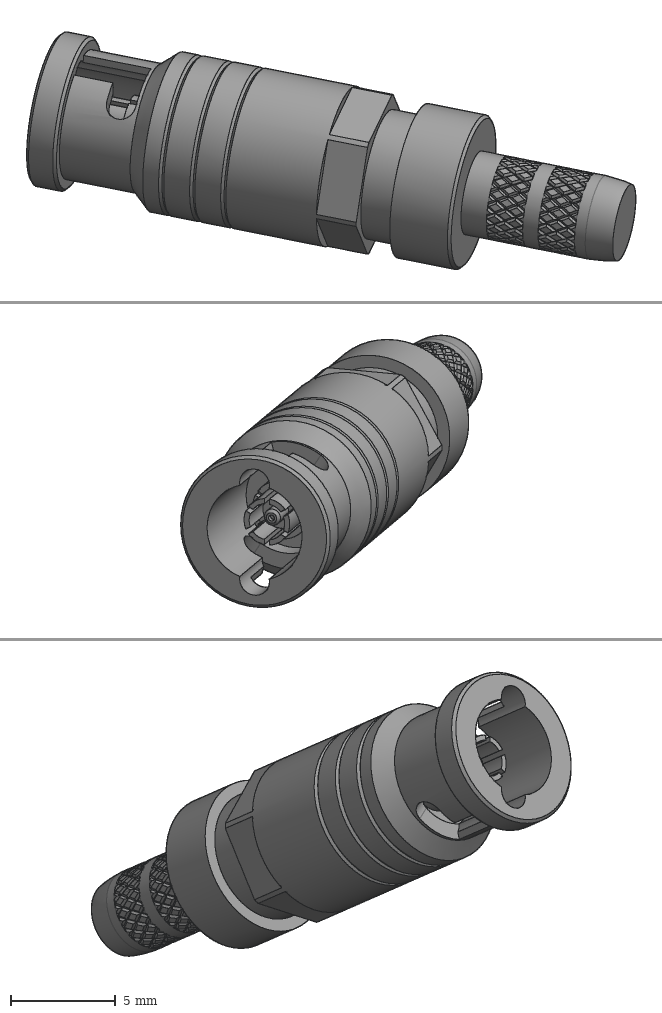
import cadquery as cq
import math


FLANGE_END = 1.5
NECK_END = 5.02
CONE_END = 5.89
BODY_END = 14.55
HEX_END = 16.55
REAR_NECK_END = 18.17
COLLAR_END = 21.2
TAPER_START = 27.4
LENGTH = 28.7

BODY_R = 3.9
FLANGE_R = 3.75
NECK_R = 3.15
STEM_R = 2.05
STEM_TIP_R = 1.87
EDGE_CHAMFER = 0.15

RING_GROOVE_CENTERS = (6.8, 8.35, 9.9)
RING_GROOVE_WIDTH = 0.25
RING_GROOVE_DEPTH = 0.13

HEX_ACROSS_FLATS = 6.9

BORE_R = 2.38
KEY_R = 0.75
BORE_END = CONE_END
LATCH_R = 0.72
LATCH_ANGLE = 33.0
LATCH_X = 4.13
LATCH_START = LATCH_X - LATCH_R
LATCH_END = LATCH_X + LATCH_R
SLOT_HALF_ANGLE = 14.0

BASE_R = 1.44
BASE_START = 4.02
FINGER_R = 1.15
FINGER_INNER_R = 0.9
FINGER_START = 1.87
SOCKET_FLOOR = 3.93
SLIT_END = 4.42
SLIT_WIDTH = 0.25
SLIT_COUNT = 6
PIN_R = 0.4
PIN_CHAMFER = 0.15
PIN_HOLE_R = 0.15
PIN_HOLE_DEPTH = 0.3
PIN_START = 2.55

KNURL_STARTS = (22.45, 25.04)
KNURL_LENGTH = 1.8
KNURL_COUNT = 20
KNURL_LEAD = 20.67
KNURL_DEPTH = 0.1
KNURL_WIDTH = 0.25

CLEARANCE = 0.3


def cylinder(radius, start, end):
    """Solid cylinder on the X axis."""
    return cq.Workplane("YZ", origin=(start, 0, 0)).circle(radius).extrude(end - start)


def tube(outer, inner, start, end):
    """Hollow cylinder on the X axis."""
    return cq.Workplane("YZ", origin=(start, 0, 0)).circle(outer).circle(inner).extrude(end - start)


def turned_body():
    """Outer turned shape with a gently rounded taper at the stem tip."""
    taper_length = LENGTH - TAPER_START
    taper_drop = STEM_R - STEM_TIP_R
    c = EDGE_CHAMFER
    profile = (
        cq.Workplane("XY")
        .moveTo(0, 0)
        .lineTo(0, FLANGE_R - c)
        .lineTo(c, FLANGE_R)
        .lineTo(FLANGE_END - c, FLANGE_R)
        .lineTo(FLANGE_END, FLANGE_R - c)
        .lineTo(FLANGE_END, NECK_R)
        .lineTo(NECK_END, NECK_R)
        .lineTo(CONE_END, BODY_R)
        .lineTo(HEX_END, BODY_R)
        .lineTo(HEX_END, NECK_R)
        .lineTo(REAR_NECK_END, NECK_R)
        .lineTo(REAR_NECK_END, FLANGE_R)
        .lineTo(COLLAR_END - c, FLANGE_R)
        .lineTo(COLLAR_END, FLANGE_R - c)
        .lineTo(COLLAR_END, STEM_R)
        .lineTo(TAPER_START, STEM_R)
        .threePointArc(
            (TAPER_START + taper_length / 2, STEM_R - taper_drop / 4),
            (LENGTH, STEM_TIP_R),
        )
        .lineTo(LENGTH, 0)
        .close()
    )
    return profile.revolve(360, (0, 0, 0), (1, 0, 0))


def ring_groove(center):
    """V-shaped ring that cuts a groove around the body."""
    half = RING_GROOVE_WIDTH / 2
    return (
        cq.Workplane("XY")
        .polyline([(center - half, BODY_R), (center, BODY_R - RING_GROOVE_DEPTH), (center + half, BODY_R)])
        .close()
        .revolve(360, (0, 0, 0), (1, 0, 0))
    )


def hex_waste():
    """Material outside the wrench flats, with two hexagon corners on the Y axis."""
    length = HEX_END - BODY_END
    across_corners = HEX_ACROSS_FLATS / math.cos(math.pi / 6)
    hexagon = cq.Workplane("YZ", origin=(BODY_END, 0, 0)).polygon(6, across_corners).extrude(length)
    return cylinder(BODY_R + CLEARANCE, BODY_END, HEX_END).cut(hexagon)


def sector(start, end, first_angle, last_angle):
    """Wedge about the X axis; angles run from +Z toward -Y."""
    return (
        cq.Workplane("XZ")
        .rect(end - start, NECK_R + CLEARANCE, centered=False)
        .revolve(last_angle - first_angle, (0, 0, 0), (1, 0, 0))
        .rotate((0, 0, 0), (1, 0, 0), first_angle)
        .translate((start, 0, 0))
    )


def bayonet_slot():
    """Key channel and latch window on the +Z side, cut from the bore outward."""
    channel = cq.Workplane("YZ").center(0, BORE_R).circle(KEY_R).extrude(LATCH_END)
    opening = sector(FLANGE_END, LATCH_END, -SLOT_HALF_ANGLE, SLOT_HALF_ANGLE)
    turn = sector(LATCH_START, LATCH_END, 0, LATCH_ANGLE)
    end = (
        cq.Workplane("XY", origin=(LATCH_X, 0, 0))
        .circle(LATCH_R)
        .extrude(NECK_R + CLEARANCE)
        .rotate((0, 0, 0), (1, 0, 0), LATCH_ANGLE)
    )
    return channel.union(opening).union(turn).union(end)


def mating_cavity():
    """Bore with two opposite bayonet slots."""
    slot = bayonet_slot()
    return (
        cylinder(BORE_R, 0, BORE_END)
        .union(slot)
        .union(slot.rotate((0, 0, 0), (1, 0, 0), 180))
    )


def inner_contact():
    """Slit spring fingers on a base, around a chamfered and drilled centre pin."""
    fingers = tube(FINGER_R, FINGER_INNER_R, FINGER_START, BORE_END)
    base = tube(BASE_R, FINGER_INNER_R, BASE_START, BORE_END)
    shell = fingers.union(base)
    slit = cq.Workplane("XY").box(
        SLIT_END - FINGER_START, SLIT_WIDTH, BASE_R + CLEARANCE, centered=(False, True, False)
    ).translate((FINGER_START, 0, 0))
    for i in range(SLIT_COUNT):
        shell = shell.cut(slit.rotate((0, 0, 0), (1, 0, 0), i * 360 / SLIT_COUNT))
    pin = cylinder(PIN_R, PIN_START, BORE_END).faces("<X").chamfer(PIN_CHAMFER)
    pin = pin.cut(cylinder(PIN_HOLE_R, PIN_START, PIN_START + PIN_HOLE_DEPTH))
    return shell.union(cylinder(FINGER_INNER_R, SOCKET_FLOOR, BORE_END)).union(pin)


def knurl_cutters(hand):
    """V-shaped helical cutters of one hand for a band starting at X = 0."""
    twist = hand * 360 * KNURL_LENGTH / KNURL_LEAD
    pitch = 360 / KNURL_COUNT
    root = STEM_R - KNURL_DEPTH
    mouth = STEM_R + KNURL_DEPTH
    cutter = (
        cq.Workplane("YZ")
        .polyline([(-KNURL_WIDTH, mouth), (0, root), (KNURL_WIDTH, mouth)])
        .close()
        .twistExtrude(KNURL_LENGTH, twist)
    )
    first_angle = (pitch - twist) / 2
    return [
        cutter.rotate((0, 0, 0), (1, 0, 0), first_angle + i * pitch).val()
        for i in range(KNURL_COUNT)
    ]


def knurled_band():
    """Short piece of stem starting at X = 0 with crossing helical grooves."""
    band = cylinder(STEM_R, 0, KNURL_LENGTH).val()
    for hand in (1, -1):
        band = band.cut(*knurl_cutters(hand))
    return band


body = turned_body().cut(hex_waste())
for groove_center in RING_GROOVE_CENTERS:
    body = body.cut(ring_groove(groove_center))
body = body.cut(mating_cavity()).union(inner_contact())

band = knurled_band()
bands = []
for band_start in KNURL_STARTS:
    body = body.cut(cylinder(STEM_R + CLEARANCE, band_start, band_start + KNURL_LENGTH))
    bands.append(band.translate(cq.Vector(band_start, 0, 0)))
result = cq.Workplane(body.val().fuse(*bands, glue=True))